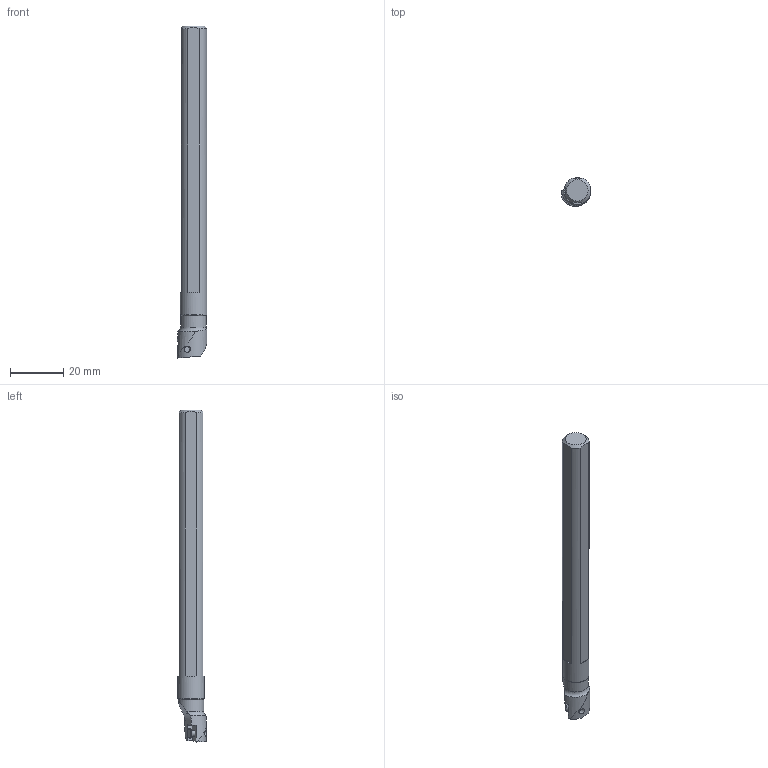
import cadquery as cq
import math

total_length = 124.61
shank_length = 100.0
shank_radius = 5.0
flat_distance = 4.5
end_chamfer = 1.0

neck_radius = 4.8
neck_top = 15.95
neck_bottom = 11.6
collar_bevel = 0.25
flare_radius = 2.0

head_radius = 5.74
head_axis = (shank_radius - head_radius, -0.01)
relief_shift_low = (0.195, -0.445)
relief_shift_high = (0.65, 0.165)
relief_top = 10.5
tip_x = -6.08

nose_angle = 4.5
corner_start_x = 2.6
corner_middle = (4.1, 3.0)
corner_end_z = 5.6

rake_angle = 13.0
flute_edge = (-5.9, -0.12)
flute_ramp_start = 9.6
flute_ramp_angle = 33.5
flute_blend_radius = 5.0

pocket_depth = 1.8
insert_angle = 80.0
insert_side = 6.25
pocket_corner_radius = 0.5

screw_center = (2.95, 3.2)
screw_radius = 1.1
screw_length_below_floor = 2.9
screw_cone_start = 0.9
screw_head_bottom = 1.65
screw_head_top = 2.05
screw_head_radius = 1.8

oversize = 20.0

shank_bottom = total_length - shank_length
rake = math.radians(rake_angle)
floor_normal = cq.Vector(-math.sin(rake), math.cos(rake), 0)
floor_along = cq.Vector(math.cos(rake), math.sin(rake), 0)


def upright_cylinder(radius, bottom, top):
    return cq.Workplane("XY").workplane(offset=bottom).circle(radius).extrude(top - bottom)


def make_shank():
    shank = upright_cylinder(shank_radius, neck_top, total_length)
    shank = shank.faces(">Z").edges().chamfer(end_chamfer)
    shank = shank.faces("<Z").edges().chamfer(collar_bevel, shank_radius - neck_radius)
    for angle in (90, 180, 270):
        flat = (
            cq.Workplane("XY")
            .box(oversize, oversize, shank_length, centered=(False, True, False))
            .translate((flat_distance, 0, shank_bottom))
            .rotate((0, 0, 0), (0, 0, 1), angle)
        )
        shank = shank.cut(flat)
    return shank


def make_leaning_cylinder():
    low = cq.Vector(*head_axis, 0) + cq.Vector(*relief_shift_low, 0)
    high = cq.Vector(*head_axis, 0) + cq.Vector(*relief_shift_high, relief_top)
    direction = (high - low).normalized()
    base = low - direction * oversize
    return cq.Workplane(cq.Solid.makeCylinder(head_radius, 3 * oversize, base, direction))


def make_flare_envelope():
    outer = neck_radius + flare_radius
    blend = math.sqrt(0.5) * flare_radius
    return (
        cq.Workplane("XZ")
        .lineTo(outer, 0)
        .lineTo(outer, neck_bottom - flare_radius)
        .threePointArc((outer - blend, neck_bottom - blend), (neck_radius, neck_bottom))
        .lineTo(0, neck_bottom)
        .close()
        .revolve(360, (0, 0, 0), (0, 1, 0))
    )


def make_nose_envelope():
    rise = math.tan(math.radians(nose_angle))
    left = -oversize
    return (
        cq.Workplane("XZ")
        .moveTo(left, (left - tip_x) * rise)
        .lineTo(corner_start_x, (corner_start_x - tip_x) * rise)
        .threePointArc(corner_middle, (shank_radius, corner_end_z))
        .lineTo(shank_radius, neck_bottom)
        .lineTo(left, neck_bottom)
        .close()
        .extrude(oversize, both=True)
    )


def make_head():
    head = upright_cylinder(head_radius, 0, neck_bottom).translate((*head_axis, 0))
    for envelope in (make_leaning_cylinder(), make_flare_envelope(), make_nose_envelope()):
        head = head.intersect(envelope)
    return head


def make_flute():
    ramp_angle = math.radians(flute_ramp_angle)
    tangent = flute_blend_radius * math.tan(ramp_angle / 2)
    blend_bottom = flute_ramp_start - tangent
    blend_middle = (
        flute_blend_radius * (1 - math.cos(ramp_angle / 2)),
        blend_bottom + flute_blend_radius * math.sin(ramp_angle / 2),
    )
    blend_top = (
        tangent * math.sin(ramp_angle),
        flute_ramp_start + tangent * math.cos(ramp_angle),
    )
    ramp_top = (
        oversize * math.sin(ramp_angle),
        flute_ramp_start + oversize * math.cos(ramp_angle),
    )
    plane = cq.Plane(origin=(*flute_edge, 0), xDir=floor_normal, normal=floor_along)
    return (
        cq.Workplane(plane)
        .moveTo(0, -oversize)
        .lineTo(0, blend_bottom)
        .threePointArc(blend_middle, blend_top)
        .lineTo(*ramp_top)
        .lineTo(oversize, ramp_top[1])
        .lineTo(oversize, -oversize)
        .close()
        .extrude(oversize, both=True)
    )


def make_pocket_floor_plane():
    below_edge = cq.Vector(*flute_edge, 0) - floor_normal * pocket_depth
    distance_to_tip = (tip_x - below_edge.x) / floor_along.x
    origin = below_edge + floor_along * distance_to_tip
    return cq.Plane(origin=origin.toTuple(), xDir=floor_along, normal=-floor_normal)


def make_pocket():
    low = math.radians(nose_angle)
    high = math.radians(nose_angle + insert_angle)
    inner_corner = (
        insert_side * (math.cos(low) + math.cos(high)),
        insert_side * (math.sin(low) + math.sin(high)),
    )
    return (
        cq.Workplane(pocket_floor)
        .moveTo(*inner_corner)
        .line(-oversize * math.cos(high), -oversize * math.sin(high))
        .line(-oversize * math.cos(low), -oversize * math.sin(low))
        .line(oversize * math.cos(high), oversize * math.sin(high))
        .close()
        .extrude(-oversize)
        .edges(cq.selectors.ParallelDirSelector(floor_normal))
        .fillet(pocket_corner_radius)
    )


def make_screw_hole():
    return (
        cq.Workplane(pocket_floor)
        .center(*screw_center)
        .circle(screw_radius)
        .extrude(oversize, both=True)
    )


def make_bar():
    neck = upright_cylinder(neck_radius, neck_bottom, neck_top)
    bar = make_shank().union(neck).union(make_head())
    return bar.cut(make_flute()).cut(make_pocket()).cut(make_screw_hole())


def make_screw():
    profile = [
        (0, -screw_length_below_floor),
        (screw_radius, -screw_length_below_floor),
        (screw_radius, screw_cone_start),
        (screw_head_radius, screw_head_bottom),
        (screw_head_radius, screw_head_top),
        (0, screw_head_top),
    ]
    foot = pocket_floor.toWorldCoords(screw_center)
    plane = cq.Plane(origin=foot.toTuple(), xDir=floor_along, normal=(0, 0, 1))
    return cq.Workplane(plane).polyline(profile).close().revolve(360, (0, 0, 0), (0, 1, 0))


pocket_floor = make_pocket_floor_plane()
bar = make_bar()
screw = make_screw()

result = cq.Compound.makeCompound([bar.val(), screw.val()])